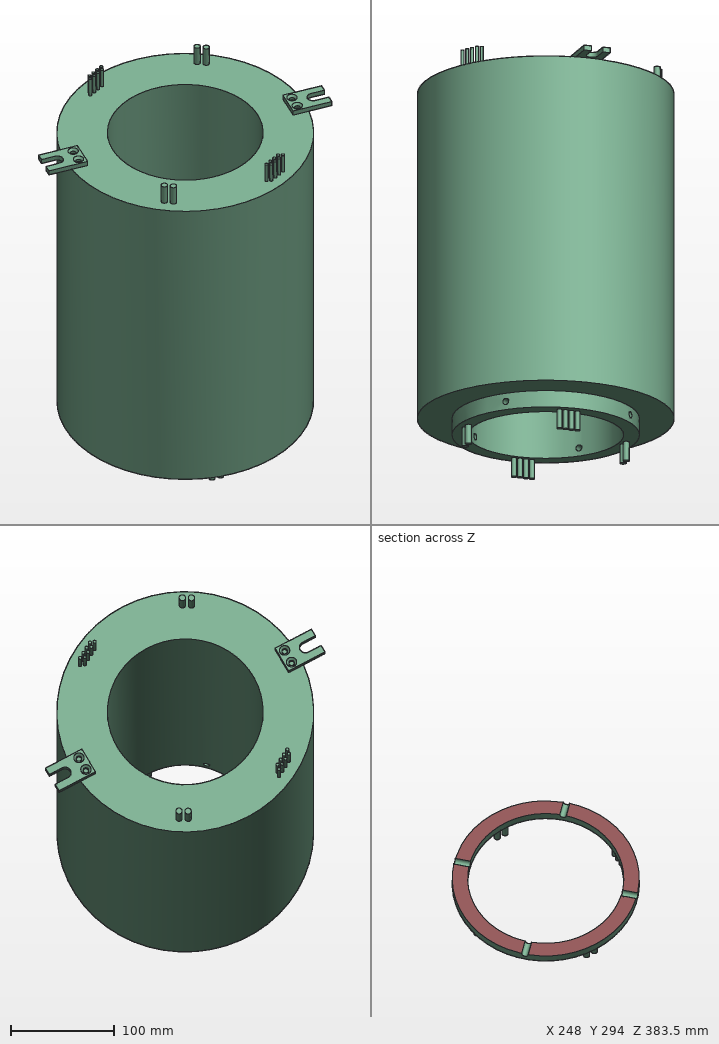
import cadquery as cq

body_diameter = 248.0
body_height = 328.2
bore_diameter = 150.5
flange_diameter = 181.0
flange_height = 16.5
top_wire_length = 20.0
overall_height = 383.5
body_top = overall_height - top_wire_length
body_bottom = body_top - body_height
flange_bottom = body_bottom - flange_height

radial_hole_diameter = 6.0
radial_hole_angles = (45, 135, 225, 315)

overall_width = 294.0
lug_width = 27.0
lug_length = 40.3
lug_thickness = 5.0
lug_slot_width = 11.5
lug_slot_depth = 20.0
lug_screw_spacing = 13.8
lug_screw_inset = 7.0
lug_screw_diameter = 5.5
lug_countersink_diameter = 10.0
lug_countersink_angle = 90
lug_angles = (0, 180)

power_count = 2
power_diameter = 6.0
power_spacing = 9.0
top_power_angles = (150, 330)
bottom_power_angles = (0, 180)

top_signal_count = 8
top_signal_diameter = 3.0
top_signal_step = 3.0
top_signal_row_spacing = 3.5
top_signal_bundles = ((30, -1), (210, 1))

bottom_signal_count = 4
bottom_signal_diameter = 5.0
bottom_signal_spacing = 6.0
bottom_signal_shift = 5.8
bottom_signal_angles = (90, 270)

top_wire_radius = 110.0
bottom_wire_radius = 81.0
wire_root = 4.0


def at_height(z):
    return cq.Workplane("XY").workplane(offset=z)


def turned(shape, angle):
    """Turn a shape about the main axis."""
    return shape.rotate((0, 0, 0), (0, 0, 1), angle)


def row_offsets(count, spacing):
    """Positions of evenly spaced items, centred on zero."""
    return [(i - (count - 1) / 2) * spacing for i in range(count)]


def housing():
    body = at_height(body_bottom).circle(body_diameter / 2).extrude(body_height)
    flange = at_height(flange_bottom).circle(flange_diameter / 2).extrude(flange_height)
    bore = at_height(flange_bottom).circle(bore_diameter / 2).extrude(body_top - flange_bottom)
    return body.union(flange).cut(bore)


def radial_hole(angle):
    """Cutter from the main axis outwards, halfway up the flange."""
    middle = flange_bottom + flange_height / 2
    hole = cq.Workplane("YZ").center(0, middle).circle(radial_hole_diameter / 2).extrude(flange_diameter / 2)
    return turned(hole, angle)


def lug(angle):
    """Fork-ended plate with two countersunk holes, reaching towards -Y before it is turned."""
    outer_y = -overall_width / 2
    inner_y = outer_y + lug_length
    plate = at_height(body_top).center(0, (outer_y + inner_y) / 2)
    plate = plate.rect(lug_width, lug_length).extrude(lug_thickness)
    slot = at_height(body_top).center(0, outer_y)
    slot = slot.slot2D(2 * lug_slot_depth, lug_slot_width, 90).extrude(lug_thickness)
    screws = [(x, inner_y - lug_screw_inset) for x in row_offsets(2, lug_screw_spacing)]
    plate = at_height(body_top + lug_thickness).add(plate.cut(slot)).pushPoints(screws)
    plate = plate.cskHole(lug_screw_diameter, lug_countersink_diameter, lug_countersink_angle)
    return turned(plate, angle)


def bundle(offsets, diameter, radius, angle, bottom, top):
    """Upright wires at (radial, tangential) offsets from the bundle centre."""
    points = [(radius + radial, tangential) for radial, tangential in offsets]
    wires = at_height(bottom).pushPoints(points).circle(diameter / 2).extrude(top - bottom)
    return turned(wires, angle)


def top_bundle(offsets, diameter, angle):
    return bundle(offsets, diameter, top_wire_radius, angle, body_top - wire_root, overall_height)


def bottom_bundle(offsets, diameter, angle):
    return bundle(offsets, diameter, bottom_wire_radius, angle, 0, flange_bottom + wire_root)


def staggered_offsets(first_row):
    """Offsets that alternate between the inner and outer rows."""
    tangential = row_offsets(top_signal_count, top_signal_step)
    return [(first_row * (-1) ** i * top_signal_row_spacing / 2, y) for i, y in enumerate(tangential)]


power_offsets = [(0, y) for y in row_offsets(power_count, power_spacing)]
bottom_signal_offsets = [
    (0, y - bottom_signal_shift) for y in row_offsets(bottom_signal_count, bottom_signal_spacing)
]

result = housing()
for angle in radial_hole_angles:
    result = result.cut(radial_hole(angle))
for angle in lug_angles:
    result = result.union(lug(angle))
for angle in top_power_angles:
    result = result.union(top_bundle(power_offsets, power_diameter, angle))
for angle, first_row in top_signal_bundles:
    result = result.union(top_bundle(staggered_offsets(first_row), top_signal_diameter, angle))
for angle in bottom_power_angles:
    result = result.union(bottom_bundle(power_offsets, power_diameter, angle))
for angle in bottom_signal_angles:
    result = result.union(bottom_bundle(bottom_signal_offsets, bottom_signal_diameter, angle))